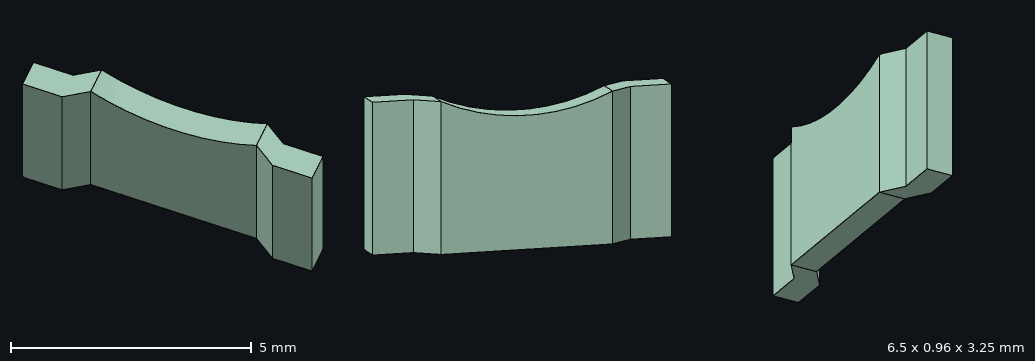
import cadquery as cq

LENGTH = 6.5
HEIGHT = 3.25
DEPTH = 0.96
THICKNESS = 0.61
CENTRE_LENGTH = 3.72
FOOT_LENGTH = 0.89
SCOOP_DEPTH = 0.4

HALF_LENGTH = LENGTH / 2
HALF_CENTRE = CENTRE_LENGTH / 2
FOOT_INNER_X = HALF_LENGTH - FOOT_LENGTH
OFFSET = DEPTH - THICKNESS


def make_centre():
    """Raised plate whose upper edge is a shallow arc from end to end."""
    return (
        cq.Workplane("XZ", origin=(0, DEPTH, 0))
        .moveTo(-HALF_CENTRE, 0)
        .lineTo(HALF_CENTRE, 0)
        .lineTo(HALF_CENTRE, HEIGHT)
        .threePointArc((0, HEIGHT - SCOOP_DEPTH), (-HALF_CENTRE, HEIGHT))
        .close()
        .extrude(THICKNESS)
    )


def make_end(side):
    """Sloping web and flat foot at one end; side is -1 or 1 along X."""
    outline = [
        (side * HALF_CENTRE, OFFSET),
        (side * FOOT_INNER_X, 0),
        (side * HALF_LENGTH, 0),
        (side * HALF_LENGTH, THICKNESS),
        (side * FOOT_INNER_X, THICKNESS),
        (side * HALF_CENTRE, DEPTH),
    ]
    return cq.Workplane("XY").polyline(outline).close().extrude(HEIGHT)


centre = make_centre()
ends = [make_end(side) for side in (-1, 1)]

result = cq.Compound.makeCompound([centre.val(), *[end.val() for end in ends]])